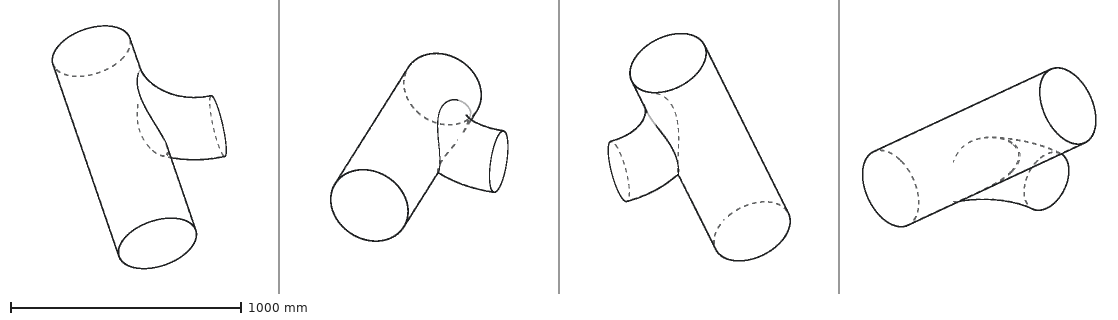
import cadquery as cq

run_diameter = 355.6
run_bore = 349.6
run_length = 1068.0

branch_diameter = 273.0
branch_wall = 3.0
bend_radius = 381.0

run_radius = run_diameter / 2
branch_radius = branch_diameter / 2
branch_bore = branch_diameter - 2 * branch_wall

branch_end_y = run_radius + bend_radius - branch_radius


def run_cylinder(diameter):
    """Solid cylinder along X over the full run length."""
    return cq.Workplane("YZ").circle(diameter / 2).extrude(run_length / 2, both=True)


def elbow(diameter):
    """Solid quarter bend from the open branch end round to the -X direction."""
    return (
        cq.Workplane("XZ", origin=(0, branch_end_y, 0))
        .circle(diameter / 2)
        .revolve(90, (-bend_radius, 0), (-bend_radius, -1))
    )


run_outside = run_cylinder(run_diameter)
run_inside = run_cylinder(run_bore)
branch_outside = elbow(branch_diameter)
branch_inside = elbow(branch_bore)

run_pipe = run_outside.cut(run_inside).cut(branch_inside)
branch_pipe = branch_outside.cut(branch_inside).cut(run_outside)

result = run_pipe.union(branch_pipe)